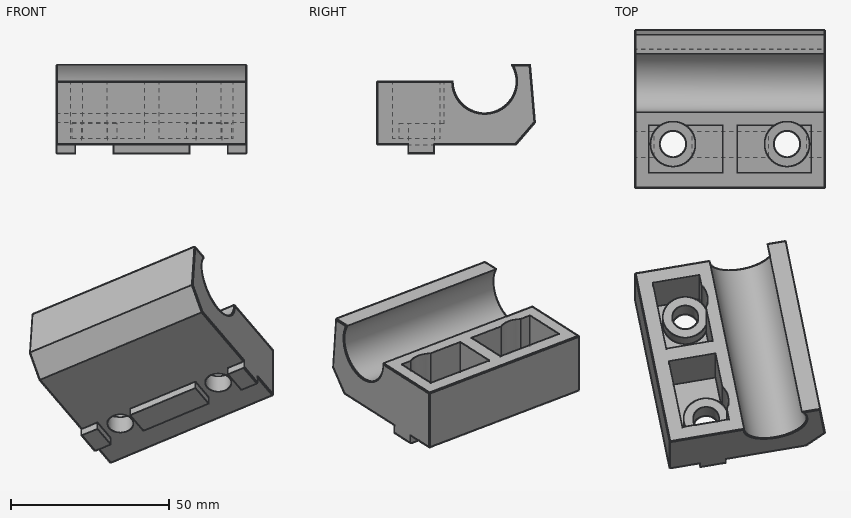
import cadquery as cq

length = 60.0
depth = 50.0
total_height = 28.1
edge_break = 0.3

foot_height = 2.8
shoulder_height = 22.8
lip_back_y = 48.4
knee_height = 9.85
base_back_y = 43.9

cradle_radius = 10.0
cradle_y = 34.0

pocket_length = 23.4
pocket_width = 15.0
pocket_spacing = 27.85
pocket_y = 12.4
pocket_depth = 18.0

hole_spacing = 36.0
hole_y = 14.0
hole_diameter = 8.2
pad_diameter = 14.2
pad_top_depth = 13.2

foot_width = 8.2
foot_gap = 12.0


def make_body():
    """Extrude the side outline, break its edges and cut the cradle."""
    outline = [
        (0, foot_height),
        (base_back_y, foot_height),
        (depth, knee_height),
        (lip_back_y, total_height),
        (cradle_y, total_height),
        (cradle_y, shoulder_height),
        (0, shoulder_height),
    ]
    body = cq.Workplane("YZ").polyline(outline).close().extrude(length / 2, both=True)
    cradle = (
        cq.Workplane("YZ")
        .center(cradle_y, shoulder_height)
        .circle(cradle_radius)
        .extrude(length, both=True)
    )
    body = body.cut(cradle)
    body = body.faces("<Y").edges("|X").chamfer(edge_break)
    return body.faces("<X or >X").edges().chamfer(edge_break)


def make_feet():
    """Key along X with its outer bottom edges broken and two gaps removed."""
    feet = (
        cq.Workplane("XY")
        .box(length, foot_width, 2 * foot_height, centered=(True, True, False))
        .translate((0, hole_y, 0))
        .faces("<X or >X")
        .edges("<Z")
        .chamfer(edge_break)
    )
    gaps = (
        cq.Workplane("XY")
        .pushPoints([(-hole_spacing / 2, hole_y), (hole_spacing / 2, hole_y)])
        .rect(foot_gap, 2 * foot_width)
        .extrude(foot_height)
    )
    return feet.cut(gaps)


def vertical_cylinder(x, diameter, bottom, top):
    """Cylinder on a screw axis between two heights."""
    return (
        cq.Workplane("XY", origin=(x, hole_y, bottom))
        .circle(diameter / 2)
        .extrude(top - bottom)
    )


def cut_screw_seat(part, side):
    """Cut the pocket on one side (-1 or +1), leaving a screw pad with a through hole."""
    hole_x = side * hole_spacing / 2
    pad_top = shoulder_height - pad_top_depth
    pocket_floor = shoulder_height - pocket_depth
    pocket = (
        cq.Workplane("XY", origin=(side * pocket_spacing / 2, pocket_y, pocket_floor))
        .rect(pocket_length, pocket_width)
        .extrude(pocket_depth)
    )
    pad = vertical_cylinder(hole_x, pad_diameter, pocket_floor, pad_top)
    head_clearance = vertical_cylinder(hole_x, pad_diameter, pad_top, shoulder_height)
    hole = vertical_cylinder(hole_x, hole_diameter, 0, shoulder_height)
    return part.cut(pocket.cut(pad)).cut(head_clearance).cut(hole)


result = make_body().union(make_feet())
for side in (-1, 1):
    result = cut_screw_seat(result, side)